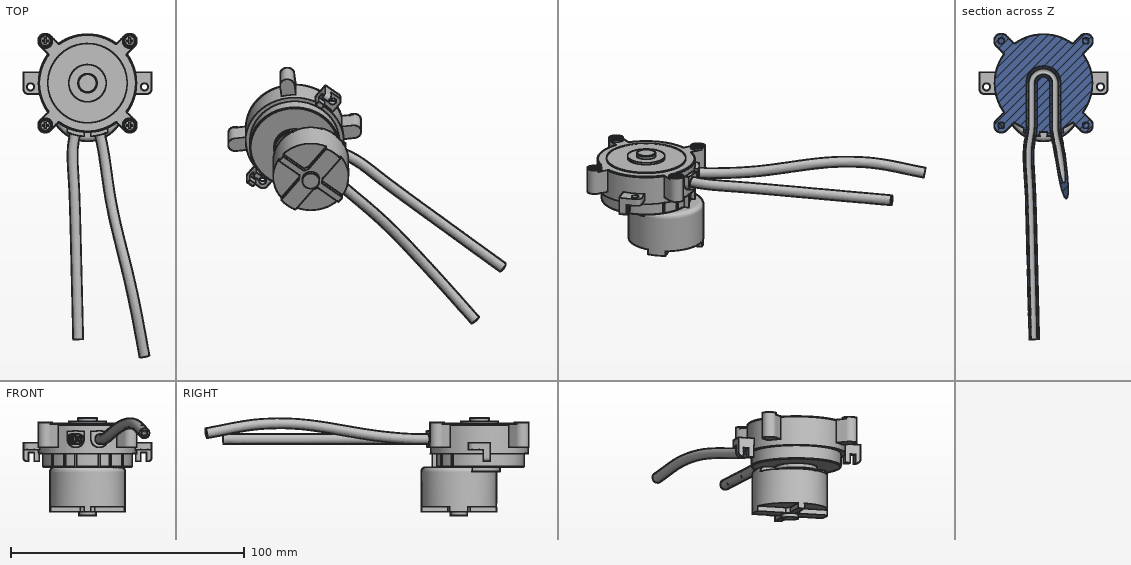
import cadquery as cq
import math


base_radius = 19.2
base_height = 5.8
base_edge = 0.4
housing_radius = 21.0
housing_top = 18.4
rim_chamfer = 0.4
cover_radius = 17.0
cover_top = 18.8
disc_radius = 8.0
disc_top = 19.7
hub_radius = 4.1
hub_top = 21.2
hub_chamfer = 0.3

rib_thickness = 0.9
rib_offset = 5.05
rib_front = 20.3
groove_angles = (218, 239, 301, 322)
groove_width = 0.8
groove_depth = 0.4

lug_offset = 18.1
lug_radius = 3.1
lug_bottom = 8.4
lug_top = 19.2
lug_distance = lug_offset * math.sqrt(2)
lug_angles = (45, 135, 225, 315)

ear_tip = 27.5
ear_back = 4.7
ear_front = -4.75
ear_top = 10.5
ear_plate_thickness = 3.0
ear_leg_depth = 3.1
ear_leg_bottom = 2.4
ear_slot_width = 2.3
ear_slot_top = 6.2
ear_slot_center = 24.05
ear_inner = 20.6
ear_corner = 2.2
ear_leg_corner = 1.7
ear_hole_diameter = 3.0
ear_hole_x = 24.4
ear_hole_y = -1.6

port_radius = 3.6
port_top = 15.4
port_front = 22.8

boss_radius = 8.9
boss_edge = 0.4

motor_y = -8.8
motor_radius = 16.15
shoulder_height = 2.1
shoulder_round = 2.0
shoulder_back = -3.1
motor_body_bottom = -17.0
motor_bottom = -19.2
cross_x_beam_width = 7.7
cross_y_beam_width = 2.8
cross_hub_radius = 5.0
shaft_radius = 3.65
overall_height = 42.0
shaft_bottom = hub_top - overall_height

tube_radius = 2.2
bore_radius = 1.25
tube_x = 5.05
tube_z = 12.0
straight_end = -18.0
left_run = [
    (-6.1, -26.0, tube_z),
    (-6.0, -40.0, tube_z),
    (-5.2, -60.0, tube_z),
    (-4.6, -84.6, tube_z),
    (-4.0, -109.8, tube_z),
]
right_run = [
    (6.2, -26.0, 12.0),
    (9.4, -46.8, 13.8),
    (12.8, -63.5, 16.6),
    (17.0, -80.3, 18.6),
    (20.7, -97.1, 18.1),
    (24.4, -116.98, 14.5),
]

counterbore_radius = 2.5
counterbore_depth = 1.6
head_radius = 2.2
head_height = 1.2
head_round = 0.5
shank_radius = 1.2
shank_length = 8.0
cross_length = 2.5
cross_width = 0.7
cross_depth = 0.5
head_seat = lug_top - counterbore_depth


def cylinder(radius, bottom, top, x=0, y=0):
    return cq.Workplane("XY").workplane(offset=bottom).center(x, y).circle(radius).extrude(top - bottom)


def block(x_min, x_max, y_min, y_max, z_min, z_max):
    size = (x_max - x_min, y_max - y_min, z_max - z_min)
    return cq.Workplane("XY").box(*size, centered=False).translate((x_min, y_min, z_min))


def at_lugs(shape):
    """Copies of a shape made on the Z axis, one at each lug centre."""
    return [shape.translate((lug_distance, 0, 0)).rotate((0, 0, 0), (0, 0, 1), a) for a in lug_angles]


def make_base():
    base = cylinder(base_radius, 0, base_height).faces("<Z").edges().chamfer(base_edge)
    for angle in groove_angles:
        groove = block(base_radius - groove_depth, housing_radius,
                       -groove_width / 2, groove_width / 2, 0, base_height)
        base = base.cut(groove.rotate((0, 0, 0), (0, 0, 1), angle))
    for side in (-1, 1):
        x = side * rib_offset
        base = base.union(block(x - rib_thickness / 2, x + rib_thickness / 2, -rib_front, 0, 0, base_height))
    return base


def make_lug():
    lug = cylinder(lug_radius, lug_bottom, lug_top)
    return lug.union(block(-lug_distance / 2, 0, -lug_radius, lug_radius, lug_bottom, housing_top))


def make_ear():
    """Ear on the +X side: a plate with a slotted leg hanging from its back edge."""
    ear = block(0, ear_tip, ear_front, ear_back, ear_top - ear_plate_thickness, ear_top)
    ear = ear.edges("|Z and >X and <Y").fillet(ear_corner)
    leg = block(ear_inner, ear_tip, ear_back - ear_leg_depth, ear_back, ear_leg_bottom, ear_top)
    leg = leg.edges("|Y and >X and <Z").fillet(ear_leg_corner)
    slot = block(ear_slot_center - ear_slot_width / 2, ear_slot_center + ear_slot_width / 2,
                 ear_front, ear_back, ear_leg_bottom, ear_slot_top)
    hole = cylinder(ear_hole_diameter / 2, ear_leg_bottom, ear_top, ear_hole_x, ear_hole_y)
    return ear.union(leg.cut(slot)).cut(hole)


def make_port(x):
    """Flange around a tube exit: round below, square above, with a curved front."""
    bottom = cq.Workplane("XZ").center(x, tube_z).circle(port_radius).extrude(housing_radius * 2)
    upper = block(x - port_radius, x + port_radius, -housing_radius * 2, 0, tube_z, port_top)
    return bottom.union(upper).intersect(cylinder(port_front, 0, housing_top))


def make_boss():
    return cylinder(boss_radius, -shoulder_height, 0).faces("<Z").edges().chamfer(boss_edge)


def tube_path():
    """Wire from the left free end, around the loop on the Z axis, to the right free end."""
    left_exit = cq.Vector(-tube_x, straight_end, tube_z)
    right_exit = cq.Vector(tube_x, straight_end, tube_z)
    left_loop = cq.Vector(-tube_x, 0, tube_z)
    right_loop = cq.Vector(tube_x, 0, tube_z)
    outward = cq.Vector(0, -1, 0)
    left_end = cq.Vector(*left_run[-1])
    left_points = [cq.Vector(*p) for p in reversed(left_run)] + [left_exit]
    left_direction = left_points[1] - left_end
    right_points = [right_exit] + [cq.Vector(*p) for p in right_run]
    right_direction = right_points[-1] - right_points[-2]
    return cq.Wire.assembleEdges([
        cq.Edge.makeSpline(left_points, tangents=[left_direction.normalized(), outward * -1]),
        cq.Edge.makeLine(left_exit, left_loop),
        cq.Edge.makeThreePointArc(left_loop, cq.Vector(0, tube_x, tube_z), right_loop),
        cq.Edge.makeLine(right_loop, right_exit),
        cq.Edge.makeSpline(right_points, tangents=[outward, right_direction.normalized()]),
    ])


def sweep_circle(radius):
    path = tube_path()
    start = cq.Plane(origin=path.startPoint().toTuple(), normal=path.tangentAt(0).toTuple())
    return cq.Workplane(start).circle(radius).sweep(cq.Workplane(obj=path))


def make_screw():
    head = cylinder(head_radius, head_seat, head_seat + head_height).faces(">Z").edges().fillet(head_round)
    screw = head.union(cylinder(shank_radius, head_seat - shank_length, head_seat))
    floor = head_seat + head_height - cross_depth
    for angle in (45, 135):
        slot = block(-cross_length / 2, cross_length / 2, -cross_width / 2, cross_width / 2, floor, lug_top)
        screw = screw.cut(slot.rotate((0, 0, 0), (0, 0, 1), angle))
    return screw


def make_housing(tube_space):
    body = cylinder(housing_radius, base_height, housing_top).faces(">Z").edges().chamfer(rim_chamfer)
    body = body.union(make_base())
    for lug in at_lugs(make_lug()):
        body = body.union(lug)
    ear = make_ear()
    body = body.union(ear).union(ear.mirror("YZ"))
    for x in (-tube_x, tube_x):
        body = body.union(make_port(x))
    body = body.union(cylinder(cover_radius, housing_top, cover_top))
    body = body.union(cylinder(disc_radius, cover_top, disc_top))
    body = body.union(cylinder(hub_radius, disc_top, hub_top).faces(">Z").edges().chamfer(hub_chamfer))
    body = body.union(make_boss())
    screw_space = cylinder(counterbore_radius, head_seat, lug_top)
    screw_space = screw_space.union(cylinder(shank_radius, head_seat - shank_length, head_seat))
    for space in at_lugs(screw_space):
        body = body.cut(space)
    return body.cut(tube_space)


def make_motor():
    motor = cylinder(motor_radius, motor_body_bottom, 0).faces(">Z").edges().fillet(shoulder_round)
    cap = block(-motor_radius, motor_radius, -cross_x_beam_width / 2, cross_x_beam_width / 2,
                motor_bottom, motor_body_bottom)
    cap = cap.union(block(-cross_y_beam_width / 2, cross_y_beam_width / 2, -motor_radius, motor_radius,
                          motor_bottom, motor_body_bottom))
    cap = cap.intersect(cylinder(motor_radius, motor_bottom, motor_body_bottom))
    cap = cap.union(cylinder(cross_hub_radius, motor_bottom, motor_body_bottom))
    motor = motor.union(cap).union(cylinder(shaft_radius, shaft_bottom, motor_bottom))
    motor = motor.translate((0, motor_y, 0))
    step = block(-motor_radius, motor_radius, shoulder_back, motor_radius, -shoulder_height, 0)
    return motor.cut(step).cut(make_boss())


tube_envelope = sweep_circle(tube_radius)
tube = tube_envelope.cut(sweep_circle(bore_radius))
housing = make_housing(tube_envelope)
motor = make_motor()
screws = at_lugs(make_screw())

result = cq.Compound.makeCompound([
    housing.val(),
    motor.val(),
    tube.val(),
    *[screw.val() for screw in screws],
])